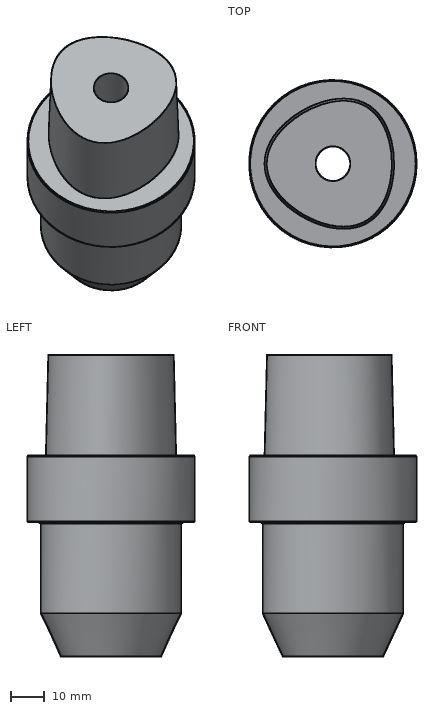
import cadquery as cq
import math

total_height = 90.0
nose_height = 13.0
flange_height = 20.0
shank_height = 30.0
flange_top = total_height - shank_height
flange_bottom = flange_top - flange_height

flange_radius = 50.0 / 2
body_radius = 42.0 / 2
nose_tip_radius = 30.0 / 2
bore_diameter = 10.3
flange_chamfer = 0.4
neck_flare = 0.45

shank_base_radius = 19.35
shank_top_radius = 18.6
lobe_offset = 1.1
points_per_section = 48


def make_body():
    """Revolve the nose cone, cylinder, flared neck and flange about Z."""
    flange_rim_radius = flange_radius - flange_chamfer
    profile = [
        (0, 0),
        (nose_tip_radius, 0),
        (body_radius, nose_height),
        (body_radius, flange_bottom - neck_flare),
        (body_radius + neck_flare, flange_bottom),
        (flange_rim_radius, flange_bottom),
        (flange_radius, flange_bottom + flange_chamfer),
        (flange_radius, flange_top - flange_chamfer),
        (flange_rim_radius, flange_top),
        (0, flange_top),
    ]
    return cq.Workplane("XZ").polyline(profile).close().revolve(360, (0, 0), (0, 1))


def lobed_section(mean_radius, z):
    """Closed smooth trochoid wire with three lobes at height z."""
    points = []
    for i in range(points_per_section):
        angle = 2 * math.pi * i / points_per_section
        x = mean_radius * math.cos(angle) - lobe_offset * math.cos(2 * angle)
        y = mean_radius * math.sin(angle) + lobe_offset * math.sin(2 * angle)
        points.append(cq.Vector(x, y, z))
    return cq.Wire.assembleEdges([cq.Edge.makeSpline(points, periodic=True)])


def make_shank():
    """Loft the tapered shank from the flange to its smaller top section."""
    base = lobed_section(shank_base_radius, flange_top)
    top = lobed_section(shank_top_radius, total_height)
    return cq.Workplane(cq.Solid.makeLoft([base, top], True))


bore = cq.Workplane("XY").circle(bore_diameter / 2).extrude(total_height)
result = make_body().union(make_shank()).cut(bore)